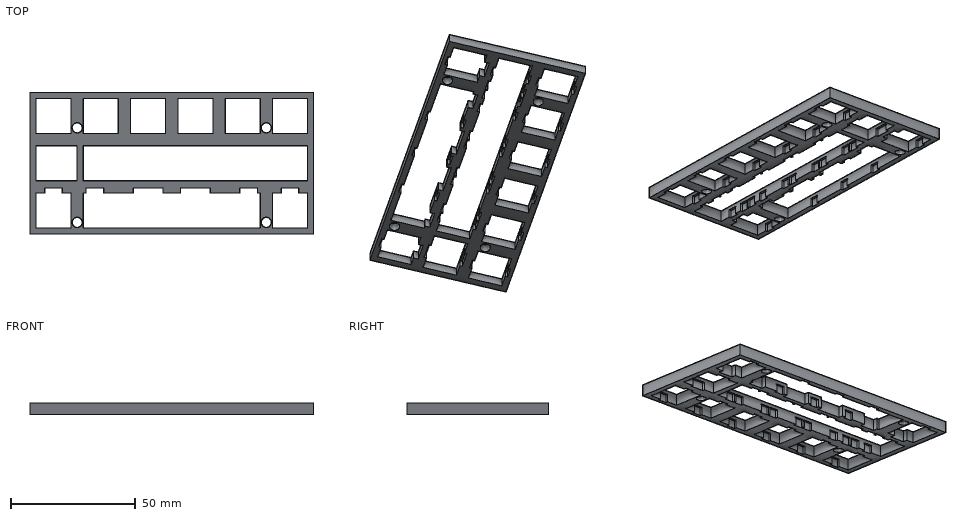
import cadquery as cq

KEY_UNIT = 19.05
COLUMNS = 6
ROWS = 3
LENGTH = COLUMNS * KEY_UNIT
WIDTH = ROWS * KEY_UNIT
THICKNESS = 4.75

SWITCH_SIZE = 14.0
CLIP_WIDTH = 4.0
CLIP_DEPTH = 1.0
CLIP_LIP = 1.5

STABILIZER_WIDTH = 7.0
STABILIZER_RELIEF = 2.0
STABILIZER_SPACING = 23.876

MOUNT_DIAMETER = 4.0
MOUNT_COLUMNS = (1, 5)
MOUNT_ROWS = (0.25, 2.25)

BOTTOM_ROW = 0.5
MIDDLE_ROW = 1.5
TOP_ROW = 2.5
TOP_KEYS = (0.5, 1.5, 2.5, 3.5, 4.5, 5.5)
MIDDLE_EDGE_KEYS = (0.5, 0.625)
MIDDLE_SLOT_KEYS = (1.5, 1.75, 2.5, 2.75, 3.5, 3.75, 4.5, 4.875, 5.125, 5.5)
BOTTOM_END_KEYS = (0.5, 5.5)
BOTTOM_WIDE_KEYS = (2, 3, 4)
BOTTOM_SLOT_SPAN = (1.5, 4.5)


def box_between(x_min, x_max, y_min, y_max, height):
    """Box standing on the underside of the plate."""
    box = cq.Workplane("XY").box(x_max - x_min, y_max - y_min, height, centered=False)
    return box.translate((x_min, y_min, 0))


def cut_opening(plate, first_key, last_key, row):
    """Cut one through opening reaching from the first to the last switch."""
    half_size = SWITCH_SIZE / 2
    opening = box_between(
        first_key * KEY_UNIT - half_size,
        last_key * KEY_UNIT + half_size,
        row * KEY_UNIT - half_size,
        row * KEY_UNIT + half_size,
        THICKNESS,
    )
    return plate.cut(opening)


def cut_clip_recesses(plate, keys, row):
    """Recess the front and back walls below the lip at each key centre."""
    half_reach = SWITCH_SIZE / 2 + CLIP_DEPTH
    for key in keys:
        recess = box_between(
            key * KEY_UNIT - CLIP_WIDTH / 2,
            key * KEY_UNIT + CLIP_WIDTH / 2,
            row * KEY_UNIT - half_reach,
            row * KEY_UNIT + half_reach,
            THICKNESS - CLIP_LIP,
        )
        plate = plate.cut(recess)
    return plate


def cut_back_reliefs(plate, centres):
    """Cut through reliefs at centres, in key units, into the back wall of the bottom row."""
    row_centre = BOTTOM_ROW * KEY_UNIT
    for centre in centres:
        relief = box_between(
            centre * KEY_UNIT - STABILIZER_WIDTH / 2,
            centre * KEY_UNIT + STABILIZER_WIDTH / 2,
            row_centre,
            row_centre + SWITCH_SIZE / 2 + STABILIZER_RELIEF,
            THICKNESS,
        )
        plate = plate.cut(relief)
    return plate


def make_top_row(plate):
    for key in TOP_KEYS:
        plate = cut_opening(plate, key, key, TOP_ROW)
    return cut_clip_recesses(plate, TOP_KEYS, TOP_ROW)


def make_middle_row(plate):
    for keys in (MIDDLE_EDGE_KEYS, MIDDLE_SLOT_KEYS):
        plate = cut_opening(plate, keys[0], keys[-1], MIDDLE_ROW)
        plate = cut_clip_recesses(plate, keys, MIDDLE_ROW)
    return plate


def make_bottom_row(plate):
    for key in BOTTOM_END_KEYS:
        plate = cut_opening(plate, key, key, BOTTOM_ROW)
    plate = cut_opening(plate, *BOTTOM_SLOT_SPAN, BOTTOM_ROW)
    plate = cut_clip_recesses(plate, BOTTOM_END_KEYS + BOTTOM_WIDE_KEYS, BOTTOM_ROW)
    plate = cut_back_reliefs(plate, BOTTOM_END_KEYS)
    half_spacing = STABILIZER_SPACING / 2 / KEY_UNIT
    for key in BOTTOM_WIDE_KEYS:
        sides = (key - half_spacing, key + half_spacing)
        plate = cut_back_reliefs(plate, sides)
    return plate


def cut_mounting_holes(plate):
    for column in MOUNT_COLUMNS:
        for row in MOUNT_ROWS:
            hole = cq.Workplane("XY").circle(MOUNT_DIAMETER / 2).extrude(THICKNESS)
            plate = plate.cut(hole.translate((column * KEY_UNIT, row * KEY_UNIT, 0)))
    return plate


plate = box_between(0, LENGTH, 0, WIDTH, THICKNESS)
plate = make_top_row(plate)
plate = make_middle_row(plate)
plate = make_bottom_row(plate)
result = cut_mounting_holes(plate)